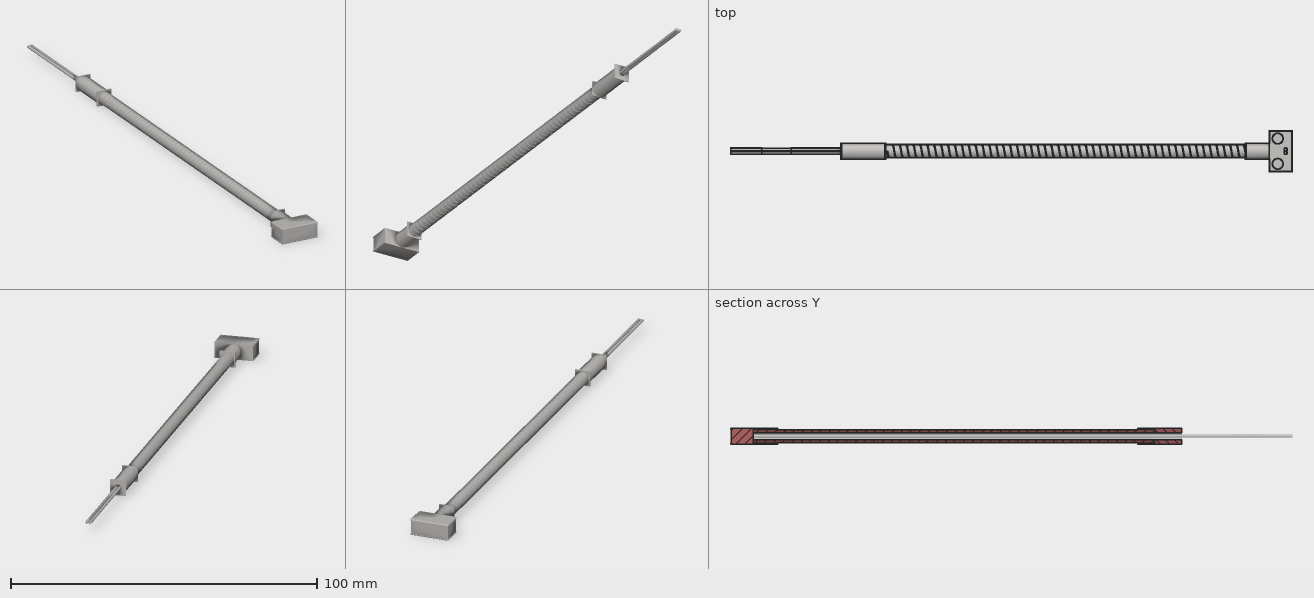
import cadquery as cq

total_length = 183.3
head_width = 13.4
head_height = 5.5

head_length = 7.5
head_start = total_length - head_length
lip_overhang = 0.2
lip_height = 0.4

neck_length = 7.9
neck_diameter = 5.3
neck_start = head_start - neck_length

flange_side = 5.3
flange_thickness = 0.4

plug_diameter = 3.5
plug_depth = 1.5
plug_spacing = 8.2
plug_setback = 2.7
plug_x = head_start + plug_setback

fiber_diameter = 1.0
fiber_spacing = 1.1
fiber_bend_radius = 1.5
light_exit_inset = 2.2
light_exit_x = total_length - light_exit_inset

slim_start = 10.0
slim_end = 19.8
slim_diameter = 0.97

ferrule_start = 36.0
ferrule_length = 14.7
ferrule_diameter = 5.3
ferrule_end = ferrule_start + ferrule_length
socket_depth = 5.7
passage_diameter = 2.2

conduit_diameter = 4.4
conduit_start = ferrule_end - socket_depth
conduit_end = head_start
groove_offset = 0.5
groove_start = ferrule_end + groove_offset
groove_turns = 52
groove_pitch = (neck_start - groove_start) / groove_turns
groove_width = 0.2
groove_depth = 0.2


def rod(start, end, diameter, y=0.0):
    """Round rod along X, centred on Z = 0."""
    return cq.Workplane("YZ", origin=(start, y, 0)).circle(diameter / 2).extrude(end - start)


def square_flange(start):
    """Thin square plate across the X axis."""
    outline = cq.Workplane("YZ", origin=(start, 0, 0)).rect(flange_side, flange_side)
    return outline.extrude(flange_thickness)


def fiber_path(y):
    """Centre line along X that turns up to the top of the head."""
    return (
        cq.Workplane("XZ", origin=(0, y, 0))
        .lineTo(light_exit_x - fiber_bend_radius, 0)
        .radiusArc((light_exit_x, fiber_bend_radius), -fiber_bend_radius)
        .lineTo(light_exit_x, head_height / 2)
    )


def make_fiber(y):
    """One bent fiber, turned down a little along its slim stretch."""
    fiber = (
        cq.Workplane("YZ", origin=(0, y, 0))
        .circle(fiber_diameter / 2)
        .sweep(fiber_path(y))
    )
    core = rod(slim_start, slim_end, slim_diameter, y)
    shaving = rod(slim_start, slim_end, 2 * fiber_diameter, y).cut(core)
    return fiber.cut(shaving)


def make_plug(y):
    """Round plug whose top is flush with the head."""
    top = cq.Workplane("XY", origin=(plug_x, y, head_height / 2))
    return top.circle(plug_diameter / 2).extrude(-plug_depth)


def make_head_block():
    """Block whose top and bottom lips overhang the two sides and the far end."""
    wall = cq.Workplane("XY").box(
        head_length - lip_overhang, head_width - 2 * lip_overhang, head_height, centered=(False, True, True)
    )
    plate = cq.Workplane("XY").box(head_length, head_width, lip_height, centered=(False, True, False))
    top_lip = plate.faces(">Z").edges(">X or >Y or <Y").chamfer(lip_overhang)
    top_lip = top_lip.translate((0, 0, head_height / 2 - lip_height))
    bottom_lip = top_lip.mirror("XY")
    block = wall.union(top_lip).union(bottom_lip)
    return block.translate((head_start, 0, 0))


def make_head(plugs, fibers):
    """Block and neck in one piece, with a socket for the conduit and holes that fit the inserts."""
    neck = rod(neck_start, head_start, neck_diameter).union(square_flange(neck_start))
    head = make_head_block().union(neck).cut(rod(neck_start, conduit_end, conduit_diameter))
    for insert in [*plugs, *fibers]:
        head = head.cut(insert)
    return head


def make_ferrule():
    """Round body with a square flange at each end, bored in two diameters."""
    body = rod(ferrule_start, ferrule_end, ferrule_diameter)
    body = body.union(square_flange(ferrule_start))
    body = body.union(square_flange(ferrule_end - flange_thickness))
    body = body.cut(rod(ferrule_start, ferrule_end, passage_diameter))
    return body.cut(rod(conduit_start, ferrule_end, conduit_diameter))


def make_groove():
    """Right-handed helical groove along the exposed length of the conduit."""
    radius = conduit_diameter / 2
    helix = cq.Wire.makeHelix(
        groove_pitch, neck_start - groove_start, radius, cq.Vector(groove_start, 0, 0), cq.Vector(1, 0, 0)
    )
    start = helix.startPoint()
    section = cq.Workplane(cq.Plane(start, (1, 0, 0), helix.tangentAt(0))).rect(groove_width, 2 * groove_depth)
    return section.sweep(cq.Workplane(helix), isFrenet=True)


def make_conduit():
    """Tube that reaches from the ferrule's socket to the bottom of the neck's socket."""
    tube = rod(conduit_start, conduit_end, conduit_diameter)
    tube = tube.cut(rod(conduit_start, conduit_end, passage_diameter))
    return tube.cut(make_groove())


fibers = [make_fiber(side * fiber_spacing / 2) for side in (-1, 1)]
plugs = [make_plug(side * plug_spacing / 2) for side in (-1, 1)]
head = make_head(plugs, fibers)
ferrule = make_ferrule()
conduit = make_conduit()

bodies = [head, ferrule, conduit, *plugs, *fibers]
result = cq.Compound.makeCompound([body.solids().val() for body in bodies])